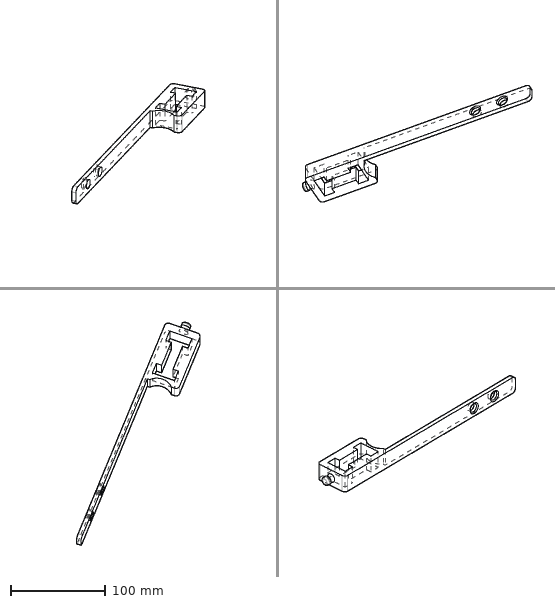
import cadquery as cq

total_length = 278.0
width = 40.0
height = 20.0

stud_length = 10.0
stud_diameter = 10.0
neck_length = 5.5
neck_diameter = 7.5
stud_tip_radius = 2.0

block_length = 68.7
arm_thickness = 5.0
block_corner_radius = 4.2
arm_tip_radius = 5.0

saddle_width = 24.5
saddle_depth = 5.3

window_width = 25.0
window_length = 52.0
window_end_length = 11.7
window_waist_width = 12.8
window_wall = 8.3

hole_diameter = 10.0
countersink_diameter = 12.8
countersink_depth = 1.5
first_hole_from_tip = 33.0
hole_spacing = 32.0

block_back = total_length - stud_length
block_front = block_back - block_length
center_x = width / 2
center_z = height / 2


def make_body():
    """Block and arm in one extruded outline, with the saddle in the block's near face."""
    saddle_left = center_x - saddle_width / 2
    saddle_right = center_x + saddle_width / 2
    body = (
        cq.Workplane("XY")
        .lineTo(arm_thickness, 0)
        .lineTo(arm_thickness, block_front)
        .lineTo(saddle_left, block_front)
        .threePointArc((center_x, block_front + saddle_depth), (saddle_right, block_front))
        .lineTo(width, block_front)
        .lineTo(width, block_back)
        .lineTo(0, block_back)
        .close()
        .extrude(height)
    )
    body = body.edges("|Z and (>X or (<X and >Y))").fillet(block_corner_radius)
    return body.edges("|X and <Y").fillet(arm_tip_radius)


def make_window():
    """I-shaped cutter: a narrow waist with a wide pocket at each end."""
    window_back = block_back - window_wall
    center_y = window_back - window_length / 2
    window = (
        cq.Workplane("XY")
        .center(center_x, center_y)
        .rect(window_waist_width, window_length)
        .extrude(height)
    )
    end_offset = (window_length - window_end_length) / 2
    for side in (-1, 1):
        pocket = (
            cq.Workplane("XY")
            .center(center_x, center_y + side * end_offset)
            .rect(window_width, window_end_length)
            .extrude(height)
        )
        window = window.union(pocket)
    return window


def make_hole(y):
    """Cutter for a hole through the arm, countersunk on the outer face."""
    return (
        cq.Workplane("XY")
        .lineTo(countersink_diameter / 2, 0)
        .lineTo(hole_diameter / 2, countersink_depth)
        .lineTo(hole_diameter / 2, arm_thickness)
        .lineTo(0, arm_thickness)
        .close()
        .revolve(360, (0, 0, 0), (0, 1, 0))
        .rotate((0, 0, 0), (0, 0, 1), -90)
        .translate((0, y, center_z))
    )


def make_stud():
    """Stud revolved about the Y direction, its neck narrowing in a smooth arc."""
    radius = stud_diameter / 2
    return (
        cq.Workplane("XY")
        .lineTo(radius, 0)
        .threePointArc((neck_diameter / 2, neck_length / 2), (radius, neck_length))
        .lineTo(radius, stud_length)
        .lineTo(0, stud_length)
        .close()
        .revolve(360, (0, 0, 0), (0, 1, 0))
        .faces(">Y")
        .edges()
        .fillet(stud_tip_radius)
        .translate((center_x, block_back, center_z))
    )


result = make_body().cut(make_window())
for index in range(2):
    result = result.cut(make_hole(first_hole_from_tip + index * hole_spacing))
result = result.union(make_stud())